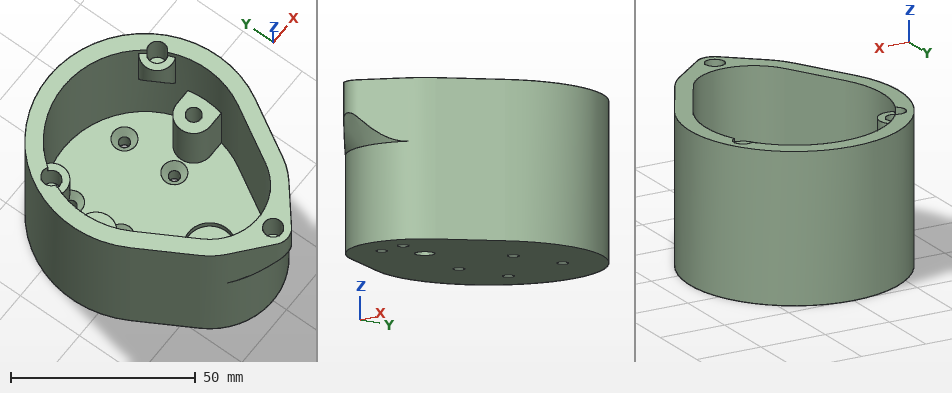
import cadquery as cq
import math

height = 44.5
wall = 5.0
large_radius = 32.5
round_end_spacing = 22.0
flank_angle = 30
small_radius = large_radius - round_end_spacing * math.sin(math.radians(flank_angle))
small_end_y = -round_end_spacing
floor_thickness = 7.0
inner_radius = large_radius - wall

lug_radius = 5.0
lug_hole_radius = 2.8
lug_hole_depth = 9.7
lug_depth = 17.5
lug_slope = math.tan(math.radians(60))
outer_lug_y = -43.5
inner_lug_angles = (30, 150)
inner_lug_recess = 2.0

post_radius = 5.7
post_x = 21.95
post_top = height - 19.4
post_hole_radius = 2.3
post_hole_depth = 9.7

countersink_x = 12.0
countersink_rows = (-1.0, 15.95)
countersink_radius = 3.65
screw_hole_radius = 1.6
countersink_depth = countersink_radius - screw_hole_radius
countersink_foot = floor_thickness - countersink_depth
shaft_hole_radius = 2.75
counterbore_radius = 7.1
counterbore_depth = 2.0
pin_hole_xs = (-4.2, 5.3)
pin_hole_y = -33.5
pin_hole_radius = 1.5


def cylinder(x, y, radius, bottom, top):
    return cq.Workplane("XY", origin=(x, y, bottom)).circle(radius).extrude(top - bottom)


def tapered_outline(radius_a, y_a, radius_b, y_b, bottom, top):
    """Two circles on the Y axis joined by their outer tangents; circle a has the larger Y."""
    lean = math.asin((radius_a - radius_b) / (y_a - y_b))
    across = math.cos(lean)
    along = math.sin(lean)
    return (
        cq.Workplane("XY", origin=(0, 0, bottom))
        .moveTo(radius_a * across, y_a - radius_a * along)
        .threePointArc((0, y_a + radius_a), (-radius_a * across, y_a - radius_a * along))
        .lineTo(-radius_b * across, y_b - radius_b * along)
        .threePointArc((0, y_b - radius_b), (radius_b * across, y_b - radius_b * along))
        .close()
        .extrude(top - bottom)
    )


def cone(y, bottom_radius, top_radius, bottom, top):
    """Solid frustum on a vertical axis at x = 0."""
    profile = [(0, bottom), (bottom_radius, bottom), (top_radius, top), (0, top)]
    return cq.Workplane("XZ").polyline(profile).close().revolve(360, (0, 0), (0, 1)).translate((0, y, 0))


def outer_lug():
    foot = height - lug_depth
    lug = tapered_outline(small_radius, small_end_y, lug_radius, outer_lug_y, foot, height)
    underside = cone(small_end_y, small_radius, small_radius + lug_depth / lug_slope, foot, height)
    return lug.intersect(underside)


def inner_lug(x, y):
    """Lug reaching inward from the wall, its underside sloping up toward the housing axis."""
    foot = height - lug_depth
    top = height - inner_lug_recess
    opening_radius = inner_radius - (top - foot) / lug_slope
    opening = cone(0, inner_radius, opening_radius, foot, top)
    return cylinder(x, y, lug_radius, foot, top).cut(opening)


def post(side):
    length = large_radius - post_x
    block = cq.Workplane("XY").box(length, 2 * post_radius, post_top, centered=(False, True, False))
    rounded = block.union(cylinder(0, 0, post_radius, 0, post_top)).translate((post_x, 0, 0))
    return rounded if side > 0 else rounded.mirror("YZ")


envelope = tapered_outline(large_radius, 0, small_radius, small_end_y, 0, height)
cavity = tapered_outline(inner_radius, 0, small_radius - wall, small_end_y, floor_thickness, height)
result = envelope.union(outer_lug()).cut(cavity)

inner_lug_centres = [
    (inner_radius * math.cos(math.radians(a)), inner_radius * math.sin(math.radians(a)))
    for a in inner_lug_angles
]
for x, y in inner_lug_centres:
    result = result.union(inner_lug(x, y).intersect(envelope))
for side in (-1, 1):
    result = result.union(post(side).intersect(envelope))

for x, y in inner_lug_centres + [(0, outer_lug_y)]:
    result = result.cut(cylinder(x, y, lug_hole_radius, height - lug_hole_depth, height))
for side in (-1, 1):
    result = result.cut(cylinder(side * post_x, 0, post_hole_radius, post_top - post_hole_depth, post_top))

for x in (-countersink_x, countersink_x):
    for y in countersink_rows:
        result = result.cut(cylinder(x, y, screw_hole_radius, 0, floor_thickness))
        sink = cone(y, screw_hole_radius, countersink_radius, countersink_foot, floor_thickness)
        result = result.cut(sink.translate((x, 0, 0)))

result = result.cut(cylinder(0, small_end_y, shaft_hole_radius, 0, floor_thickness))
counterbore_floor = floor_thickness - counterbore_depth
result = result.cut(cylinder(0, small_end_y, counterbore_radius, counterbore_floor, floor_thickness))
for x in pin_hole_xs:
    result = result.cut(cylinder(x, pin_hole_y, pin_hole_radius, 0, floor_thickness))